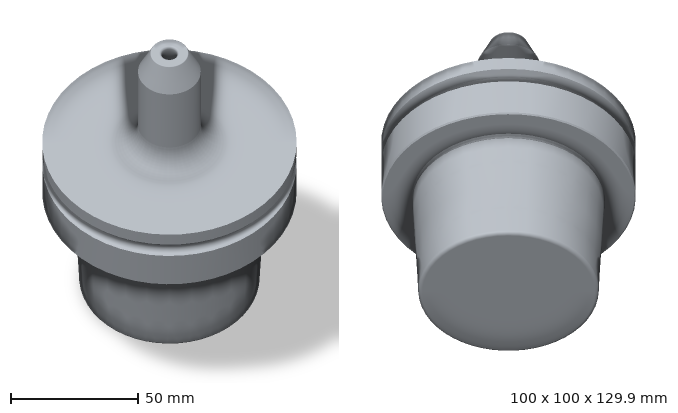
import cadquery as cq
import math

total_height = 129.9
flange_bottom = 49.9
flange_top = 78.8

flange_radius = 50.0
flange_edge_chamfer = 0.5
groove_top_offset = 5.7
groove_mouth_width = 6.5
groove_depth = 4.0
groove_wall_rise = 1.5
groove_root_fillet = 0.9

taper_top_radius = 37.8
taper_slope = 1 / 20
taper_end_fillet = 1.5
relief_height = 2.2
relief_depth = 0.5
relief_ramp_height = 0.6
relief_corner_chamfer = 0.6

pin_radius = 12.3
pin_flare_radius = 10.0
pin_tip_radius = 7.4
pin_cone_height = 10.7
pin_tip_fillet = 0.4

hole_radius = 3.1
hole_depth = 13.0
hole_mouth_fillet = 1.0


def make_taper():
    """Taper shank with a rounded small end and a relief below the flange."""
    taper_top = flange_bottom - relief_height
    relief_radius = taper_top_radius - relief_depth
    end_radius = taper_top_radius - taper_slope * taper_top
    return (
        cq.Workplane("XZ")
        .moveTo(0, 0)
        .lineTo(end_radius, 0)
        .lineTo(taper_top_radius, taper_top)
        .lineTo(relief_radius, taper_top + relief_ramp_height)
        .lineTo(relief_radius, flange_bottom - relief_corner_chamfer)
        .lineTo(relief_radius + relief_corner_chamfer, flange_bottom)
        .lineTo(0, flange_bottom)
        .close()
        .revolve(360, (0, 0), (0, 1))
        .faces("<Z")
        .edges()
        .fillet(taper_end_fillet)
    )


def make_groove():
    """Ring that cuts the gripper groove, with rounded root corners."""
    mouth_top = flange_top - groove_top_offset
    mouth_bottom = mouth_top - groove_mouth_width
    floor_radius = flange_radius - groove_depth
    return (
        cq.Workplane("XZ")
        .moveTo(flange_radius, mouth_top)
        .lineTo(floor_radius, mouth_top - groove_wall_rise)
        .lineTo(floor_radius, mouth_bottom + groove_wall_rise)
        .lineTo(flange_radius, mouth_bottom)
        .close()
        .revolve(360, (0, 0), (0, 1))
        .edges(cq.selectors.RadiusNthSelector(0))
        .fillet(groove_root_fillet)
    )


def make_flange():
    """Round flange with a chamfered lower edge and the gripper groove."""
    return (
        cq.Workplane("XY", origin=(0, 0, flange_bottom))
        .circle(flange_radius)
        .extrude(flange_top - flange_bottom)
        .faces("<Z")
        .edges()
        .chamfer(flange_edge_chamfer)
        .cut(make_groove())
    )


def make_pin():
    """Pin with a flared foot, a coned tip and a blind hole with a rounded mouth."""
    flare_top = flange_top + pin_flare_radius
    flare_outer_radius = pin_radius + pin_flare_radius
    arc_offset = pin_flare_radius * math.sqrt(0.5)
    return (
        cq.Workplane("XZ")
        .moveTo(0, flange_top)
        .lineTo(flare_outer_radius, flange_top)
        .threePointArc(
            (flare_outer_radius - arc_offset, flare_top - arc_offset),
            (pin_radius, flare_top),
        )
        .lineTo(pin_radius, total_height - pin_cone_height)
        .lineTo(pin_tip_radius, total_height)
        .lineTo(0, total_height)
        .close()
        .revolve(360, (0, 0), (0, 1))
        .faces(">Z")
        .edges()
        .fillet(pin_tip_fillet)
        .faces(">Z")
        .workplane(origin=(0, 0, total_height))
        .hole(2 * hole_radius, hole_depth)
        .faces(">Z")
        .edges(cq.selectors.RadiusNthSelector(0))
        .fillet(hole_mouth_fillet)
    )


result = make_taper().union(make_flange()).union(make_pin())